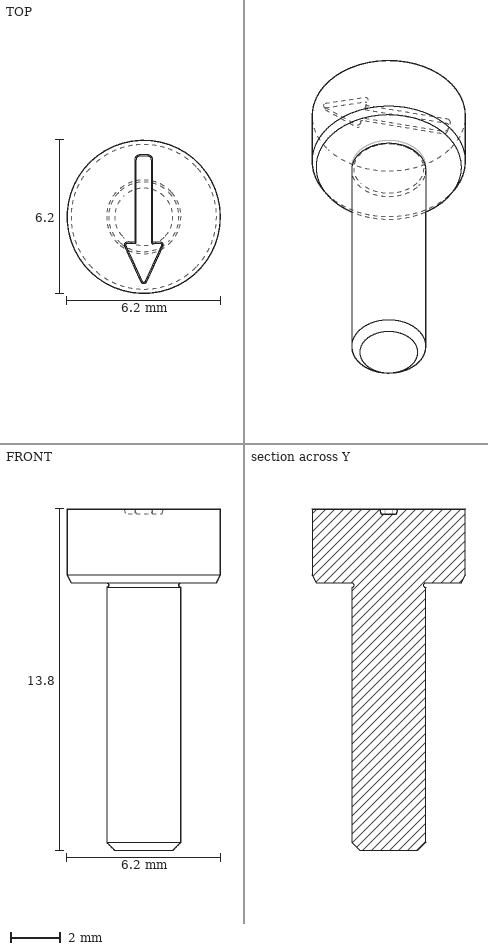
import cadquery as cq
import math

total_length = 13.8
head_diameter = 6.2
head_height = 3.0
shank_diameter = 3.0

head_bevel_height = 0.33
head_bevel_width = 0.17
neck_groove_radius = 0.08
tip_chamfer = 0.33

arrow_tail_y = 2.51
arrow_shoulder_y = -1.02
arrow_tip_y = -2.7
arrow_shaft_width = 0.72
arrow_head_width = 1.57
arrow_depth = 0.21
arrow_draft = 15.0
tail_radius = 0.21
shoulder_radius = 0.11
tip_radius = 0.12


def turned_body():
    """Head and shank as one revolved profile around Z."""
    head_radius = head_diameter / 2
    shank_radius = shank_diameter / 2
    head_bottom = total_length - head_height
    groove_middle = head_bottom - neck_groove_radius
    groove_bottom = head_bottom - 2 * neck_groove_radius
    profile = (
        cq.Workplane("XZ")
        .lineTo(shank_radius - tip_chamfer, 0)
        .lineTo(shank_radius, tip_chamfer)
        .lineTo(shank_radius, groove_bottom)
        .threePointArc((shank_radius - neck_groove_radius, groove_middle), (shank_radius, head_bottom))
        .lineTo(head_radius - head_bevel_width, head_bottom)
        .lineTo(head_radius, head_bottom + head_bevel_height)
        .lineTo(head_radius, total_length)
        .lineTo(0, total_length)
        .close()
    )
    return profile.revolve(360, (0, 0, 0), (0, 1, 0))


def arrow_recess():
    """Cutter for the arrow, with rounded corners and walls narrowing downward."""
    half_shaft = arrow_shaft_width / 2
    half_head = arrow_head_width / 2
    flank_angle = math.atan2(half_head, arrow_shoulder_y - arrow_tip_y)
    sharp_tip_y = arrow_tip_y - tip_radius * (1 / math.sin(flank_angle) - 1)
    corner_center_x = half_head - shoulder_radius
    corner_center_y = arrow_shoulder_y - shoulder_radius
    flank_x = corner_center_x + shoulder_radius * math.cos(flank_angle)
    flank_y = corner_center_y - shoulder_radius * math.sin(flank_angle)
    flank_slope = (flank_y - sharp_tip_y) / flank_x
    sharp_corner_x = (arrow_shoulder_y - sharp_tip_y) / flank_slope
    outline = [
        (-half_shaft, arrow_tail_y),
        (half_shaft, arrow_tail_y),
        (half_shaft, arrow_shoulder_y),
        (sharp_corner_x, arrow_shoulder_y),
        (0, sharp_tip_y),
        (-sharp_corner_x, arrow_shoulder_y),
        (-half_shaft, arrow_shoulder_y),
    ]
    prism = cq.Workplane("XY").polyline(outline).close().extrude(arrow_depth)
    prism = prism.edges("|Z").edges(">Y").fillet(tail_radius)
    prism = prism.edges("|Z").edges("<Y").fillet(tip_radius)
    prism = prism.edges("|Z").edges("<X or >X").fillet(shoulder_radius)
    rounded_outline = prism.faces("<Z").wires().val()
    cutter = cq.Workplane("XY").add(rounded_outline).toPending().extrude(-arrow_depth, taper=arrow_draft)
    return cutter.translate((0, 0, total_length))


result = turned_body().cut(arrow_recess())